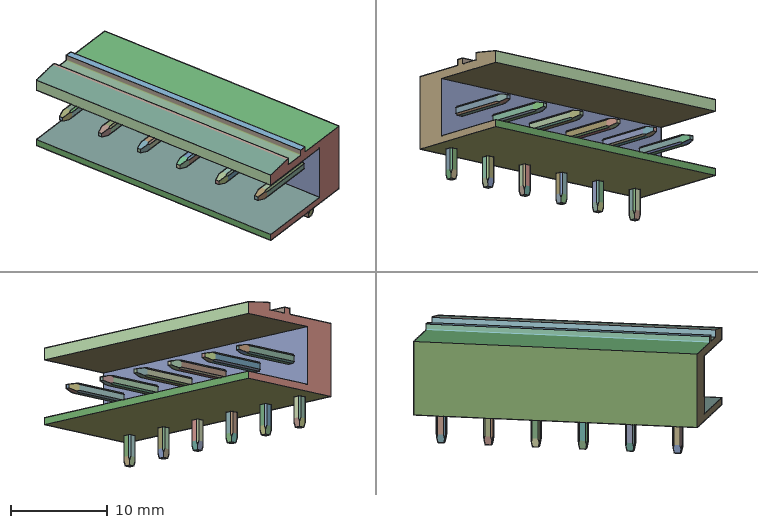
import cadquery as cq

housing_length = 30.0
housing_depth = 12.0
roof_top = 7.77
roof_underside = 6.87
floor_thickness = 0.75
cavity_depth = 8.58

rib_front = 5.25
rib_width = 0.78
rib_height = 0.63
rib_foot_radius = 0.1
rib_back = rib_front + rib_width
rib_top = roof_top + rib_height

lip_back = 3.15
lip_flat_width = 0.35
lip_top = 8.52
lip_front_top = 8.13

pin_count = 6
pin_pitch = housing_length / pin_count
pin_size = 1.0
pin_round_diameter = 1.17

contact_axis_z = 3.8
contact_tip_y = 0.9
contact_taper_length = 1.25
contact_tip_size = 0.42

tail_axis_y = 9.9
tail_length = 3.18
tail_taper_length = 0.9
tail_tip_size = 0.63


def make_housing_blank():
    """C-shaped housing with its rib and latch lip, before the pin passages are cut."""
    profile = [
        (0, 0),
        (housing_depth, 0),
        (housing_depth, roof_top),
        (rib_back, roof_top),
        (rib_back, rib_top),
        (rib_front, rib_top),
        (rib_front, roof_top),
        (lip_back, roof_top),
        (lip_back, lip_top),
        (lip_back - lip_flat_width, lip_top),
        (0, lip_front_top),
        (0, roof_underside),
        (cavity_depth, roof_underside),
        (cavity_depth, floor_thickness),
        (0, floor_thickness),
    ]
    blank = cq.Workplane("YZ").polyline(profile).close().extrude(housing_length)
    rib_feet = cq.selectors.BoxSelector(
        (0, rib_front - rib_foot_radius, roof_top - rib_foot_radius),
        (housing_length, rib_back + rib_foot_radius, roof_top + rib_foot_radius),
    )
    return blank.edges("|X").edges(rib_feet).fillet(rib_foot_radius)


def make_leg(length, taper_length, tip_size):
    """Pin leg along +Z from z = 0: round wire trimmed to a square shank and a pyramidal tip."""
    straight_length = length - taper_length
    wire = cq.Workplane("XY").circle(pin_round_diameter / 2).extrude(length)
    shank = cq.Workplane("XY").rect(pin_size, pin_size).extrude(straight_length)
    tip = (
        cq.Workplane("XY", origin=(0, 0, straight_length))
        .rect(pin_size, pin_size)
        .workplane(offset=taper_length)
        .rect(tip_size, tip_size)
        .loft(ruled=True)
    )
    return wire.intersect(shank.union(tip))


def make_pin(x):
    """One L-shaped pin: a contact leg along -Y and a tail leg along -Z, joined in a square elbow."""
    elbow = cq.Workplane("XY").box(pin_size, pin_size, pin_size)
    contact = make_leg(tail_axis_y - contact_tip_y, contact_taper_length, contact_tip_size)
    contact = contact.rotate((0, 0, 0), (1, 0, 0), 90)
    tail = make_leg(contact_axis_z + tail_length, tail_taper_length, tail_tip_size)
    tail = tail.rotate((0, 0, 0), (1, 0, 0), 180)
    pin = elbow.union(contact).union(tail)
    return pin.translate((x, tail_axis_y, contact_axis_z))


pins = [make_pin((index + 0.5) * pin_pitch) for index in range(pin_count)]

housing = make_housing_blank()
for pin in pins:
    housing = housing.cut(pin)

bodies = [housing, *pins]
result = cq.Compound.makeCompound([body.solids().val() for body in bodies])